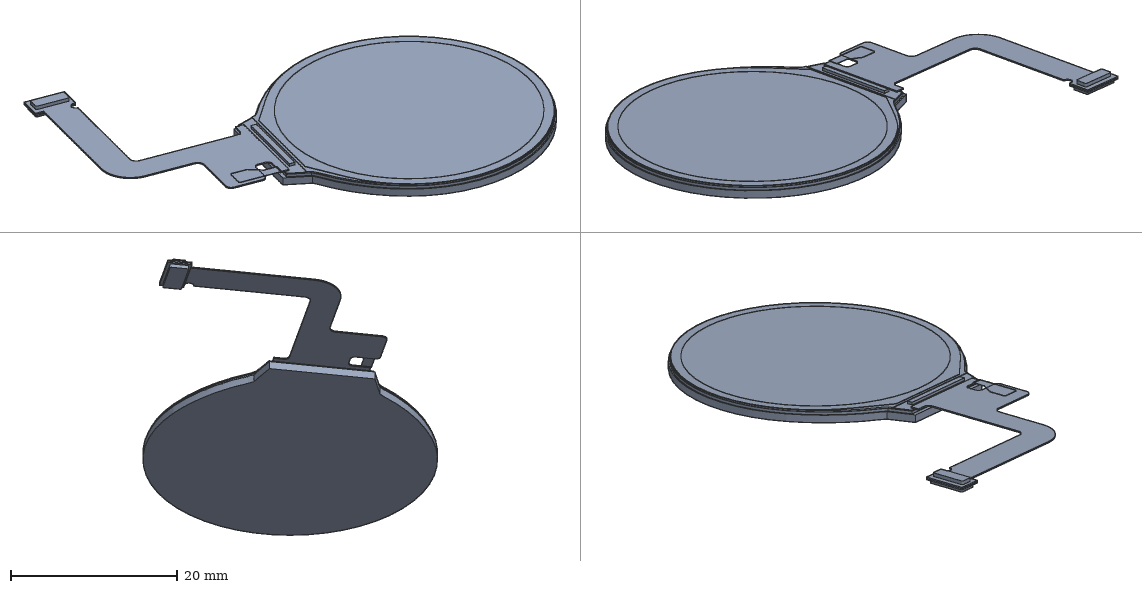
import cadquery as cq
import math


tray_radius = 17.7
panel_inset = 0.2
polarizer_radius = 17.4
flare_angle = 63.0
flare_extra_radius = 5.05
neck_top_x = 8.25
neck_top_y = -16.5
neck_side_x = 7.7
neck_side_y = -17.0
neck_corner_x = 6.45
tray_front_y = -20.4
neck_inset = 0.25
panel_front_y = -19.85

tray_floor = 0.45
tray_height = 1.0
panel_rim_z = 1.35
ledge_z = 1.45
panel_top_z = 1.5
polarizer_top_z = 1.55
circuit_thickness = 0.2
circuit_top_z = ledge_z + circuit_thickness
chip_top_z = 1.8
stiffener_bottom_z = 1.3
lower_connector_bottom_z = 0.8
module_height = 2.1

panel_rim_step = 0.05
ledge_y = -17.55
polarizer_front_y = -17.2
polarizer_corner_x = 6.1
active_radius = 16.2
active_depth = 0.03

chip_length = 10.1
chip_width = 0.75
chip_center_y = -18.4

bond_half_width = 5.9
bond_back_y = -19.3
bond_front_y = -20.45
arm_left_x = -4.1
arm_right_x = -0.65
arm_back_y = -35.2
arm_front_y = -39.25
pad_right_x = 6.6
pad_back_y = -22.6
pad_front_y = -27.8
slot_left_x = 3.15
elbow_outer_radius = 3.95
elbow_inner_radius = 0.9
pad_radius = 0.75
corner_radius = 0.6

head_left_x = -22.7
head_width = 2.95
head_front_y = -40.35
head_length = 5.45
head_right_x = head_left_x + head_width
head_back_y = head_front_y + head_length
head_center = (head_left_x + head_width / 2, head_front_y + head_length / 2)
relief_radius = 0.6
upper_connector_size = (1.55, 4.55)
lower_connector_size = (2.25, 4.9)
connector_edge_radius = 0.2

tail_thickness = 0.05
tail_right_x = 6.05
tail_neck_x = 4.75
tail_left_x = 3.7
tail_back_y = -20.3
tail_neck_y = -22.05
tail_shoulder_y = -23.8
tail_front_y = -26.1
tail_corner_radius = 0.25


def polar(radius, angle):
    """Point at an angle measured from the -Y direction towards +X."""
    turn = math.radians(angle)
    return radius * math.sin(turn), -radius * math.cos(turn)


def mirrored(point):
    return -point[0], point[1]


def module_prism(inset, neck_set_back, front_y, bottom, top):
    """Disc that flares tangentially into a tapered neck at -Y."""
    radius = tray_radius - inset
    start = polar(radius, flare_angle)
    flare_radius = radius + flare_extra_radius
    flare_center = polar(-flare_extra_radius, flare_angle)
    neck_top = (neck_top_x - inset, neck_top_y + inset / 2)
    end_angle = math.degrees(
        math.atan2(neck_top[0] - flare_center[0], flare_center[1] - neck_top[1])
    )
    middle_offset = polar(flare_radius, (flare_angle + end_angle) / 2)
    middle = (flare_center[0] + middle_offset[0], flare_center[1] + middle_offset[1])
    end_offset = polar(flare_radius, end_angle)
    end = (flare_center[0] + end_offset[0], flare_center[1] + end_offset[1])
    neck_side = (neck_side_x - neck_set_back, neck_side_y)
    taper = (neck_side_x - neck_corner_x) / (neck_side_y - tray_front_y)
    corner = (neck_side[0] - taper * (neck_side_y - front_y), front_y)
    return (
        cq.Workplane("XY", origin=(0, 0, bottom))
        .moveTo(*mirrored(start))
        .threePointArc((0, radius), start)
        .threePointArc(middle, end)
        .lineTo(*neck_side)
        .lineTo(*corner)
        .lineTo(*mirrored(corner))
        .lineTo(*mirrored(neck_side))
        .lineTo(*mirrored(end))
        .threePointArc(mirrored(middle), mirrored(start))
        .close()
        .extrude(top - bottom)
    )


def block(size, center, bottom, top):
    return (
        cq.Workplane("XY", origin=(center[0], center[1], bottom))
        .rect(*size)
        .extrude(top - bottom)
    )


def panel_layer(step, bottom, top):
    """One layer of the panel, set back all round by the step."""
    front_y = panel_front_y + step
    return module_prism(panel_inset + step, neck_inset + step, front_y, bottom, top)


def make_panel():
    base = panel_layer(0, tray_floor, panel_rim_z)
    glass = panel_layer(panel_rim_step, panel_rim_z, panel_top_z)
    ledge_length = ledge_y - tray_front_y
    ledge_space = block(
        (2 * tray_radius, ledge_length),
        (0, ledge_y - ledge_length / 2),
        ledge_z,
        panel_top_z,
    )
    return base.union(glass.cut(ledge_space))


def make_tray():
    tray = module_prism(0, 0, tray_front_y, 0, tray_height)
    return tray.cut(panel_layer(0, tray_floor, tray_height))


def make_polarizer():
    """Disc with a straight front edge, joined to it by tangents from the corners."""
    corner = (polarizer_corner_x, polarizer_front_y)
    corner_angle = math.degrees(math.atan2(corner[0], -corner[1]))
    tangent_turn = math.degrees(math.acos(polarizer_radius / math.hypot(*corner)))
    tangent = polar(polarizer_radius, corner_angle + tangent_turn)
    sheet = (
        cq.Workplane("XY", origin=(0, 0, panel_top_z))
        .moveTo(*mirrored(tangent))
        .threePointArc((0, polarizer_radius), tangent)
        .lineTo(*corner)
        .lineTo(*mirrored(corner))
        .close()
        .extrude(polarizer_top_z - panel_top_z)
    )
    active_area = (
        cq.Workplane("XY", origin=(0, 0, polarizer_top_z - active_depth))
        .circle(active_radius)
        .extrude(active_depth)
    )
    return sheet.cut(active_area)


def make_chip():
    return block((chip_length, chip_width), (0, chip_center_y), ledge_z, chip_top_z)


def head_relief(bottom, top):
    """Round notch beside the head, at its back corner."""
    return (
        cq.Workplane("XY", origin=(head_right_x + relief_radius, arm_back_y, bottom))
        .circle(relief_radius)
        .extrude(top - bottom)
    )


def make_circuit():
    outline = [
        (-bond_half_width, bond_back_y),
        (bond_half_width, bond_back_y),
        (bond_half_width, bond_front_y),
        (slot_left_x, bond_front_y),
        (slot_left_x, pad_back_y),
        (pad_right_x, pad_back_y),
        (pad_right_x, pad_front_y),
        (arm_right_x, pad_front_y),
        (arm_right_x, arm_front_y),
        (head_right_x, arm_front_y),
        (head_right_x, head_front_y),
        (head_left_x, head_front_y),
        (head_left_x, head_back_y),
        (head_right_x, head_back_y),
        (head_right_x, arm_back_y),
        (arm_left_x, arm_back_y),
        (arm_left_x, bond_front_y),
        (-bond_half_width, bond_front_y),
    ]
    circuit = (
        cq.Workplane("XY", origin=(0, 0, ledge_z))
        .polyline(outline)
        .close()
        .extrude(circuit_thickness)
    )
    rounded_corners = [
        ((slot_left_x, bond_front_y), corner_radius),
        ((slot_left_x, pad_back_y), corner_radius),
        ((pad_right_x, pad_back_y), corner_radius),
        ((pad_right_x, pad_front_y), pad_radius),
        ((arm_right_x, pad_front_y), elbow_inner_radius),
        ((arm_right_x, arm_front_y), elbow_outer_radius),
        ((arm_left_x, arm_back_y), elbow_inner_radius),
        ((arm_left_x, bond_front_y), corner_radius),
    ]
    middle_z = ledge_z + circuit_thickness / 2
    for (x, y), radius in rounded_corners:
        corner_edge = cq.selectors.NearestToPointSelector((x, y, middle_z))
        circuit = circuit.edges("|Z").edges(corner_edge).fillet(radius)
    return circuit.cut(head_relief(ledge_z, circuit_top_z))


def make_stiffener():
    return block((head_width, head_length), head_center, stiffener_bottom_z, ledge_z)


def make_connector(size, bottom, top):
    return block(size, head_center, bottom, top).edges("|Z").fillet(connector_edge_radius)


def make_tail():
    outline = [
        (tail_right_x, tail_back_y),
        (tail_right_x, tail_front_y),
        (tail_left_x, tail_front_y),
        (tail_left_x, tail_shoulder_y),
        (tail_neck_x, tail_neck_y),
        (tail_neck_x, tail_back_y),
    ]
    return (
        cq.Workplane("XY", origin=(0, 0, circuit_top_z))
        .polyline(outline)
        .close()
        .extrude(tail_thickness)
        .faces("<Y")
        .edges("|Z")
        .fillet(tail_corner_radius)
    )


tray = make_tray()
panel = make_panel()
polarizer = make_polarizer()
chip = make_chip()
circuit = make_circuit()
stiffener = make_stiffener()
upper_connector = make_connector(upper_connector_size, circuit_top_z, module_height)
lower_connector = make_connector(
    lower_connector_size, lower_connector_bottom_z, stiffener_bottom_z
)
tail = make_tail()

result = cq.Compound.makeCompound(
    [
        tray.val(),
        panel.val(),
        polarizer.val(),
        chip.val(),
        circuit.val(),
        stiffener.val(),
        upper_connector.val(),
        lower_connector.val(),
        tail.val(),
    ]
)